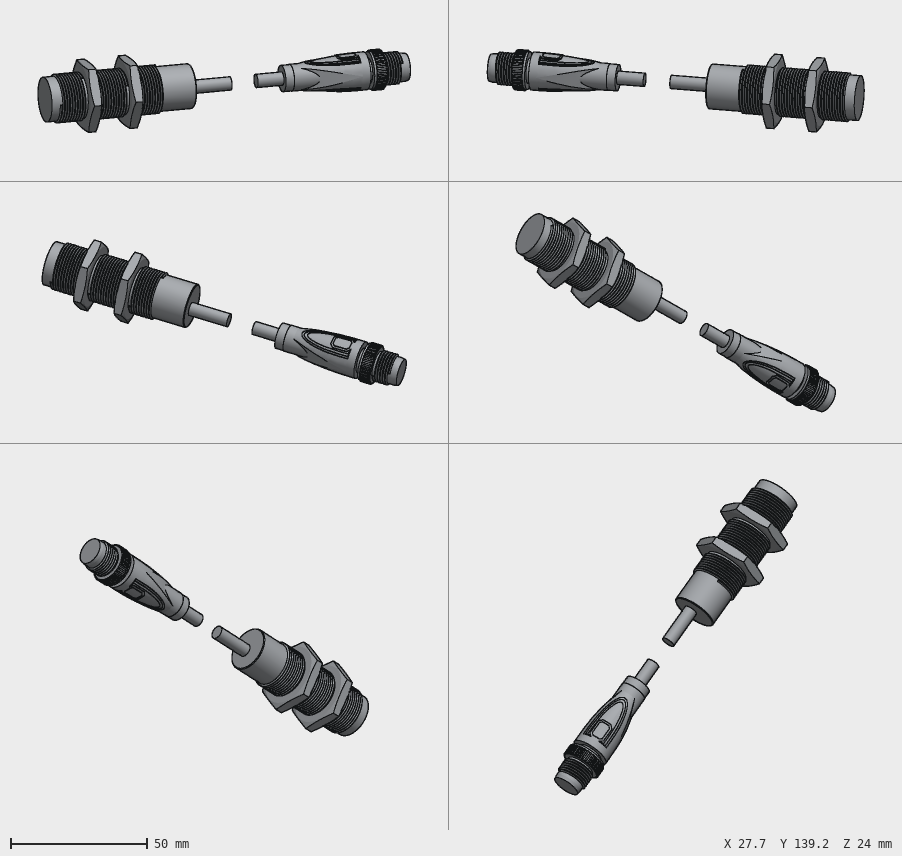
import cadquery as cq
import math


cable_radius = 2.5
cable_offset = 1.4
thread_pitch = 1.0
thread_depth = 0.7
crest_width = thread_pitch / 8
flank_angle = 30.0
thread_end_gap = 0.05
root_overlap = 0.05

sensor_thread_radius = 9.0
barrel_radius = sensor_thread_radius - thread_depth
sensor_thread_start = 3.1
sensor_thread_end = 43.8
barrel_length = 56.0
barrel_end_chamfer = 0.3
sensor_cable_end = 71.1

nut_across_flats = 24.0
nut_across_corners = nut_across_flats / math.cos(math.radians(30))
nut_thickness = 4.0
nut_face_radius = 11.5
nut_bevel = 0.6
nut_starts = (14.0, 30.0)

plug_cable_start = 81.1
sleeve_start = 91.1
tail_start = 94.4
head_start = 120.2
head_end = 123.2
rim_start = 124.7
knurl_start = 125.6
knurl_end = 129.6
plug_thread_end = 136.6
plug_end = 139.2

sleeve_radius = 4.9
tail_radius = 5.0
head_radius = 7.05
neck_radius = 4.7
rim_radius = 7.0
plug_thread_radius = 6.0
nose_radius = plug_thread_radius - thread_depth
nose_chamfer_radius = 0.25
nose_chamfer_length = 1.4

knurl_radius = 7.5
knurl_groove_depth = 0.5
knurl_count = 36
knurl_chamfer = 0.4

side_arc_radius = 62.0
taper_arc_radius = 123.0
grip_length = head_start - tail_start

pad_straight_end = 116.5
pad_step_inset = 0.2
pad_front = head_start - pad_step_inset
pad_steps = (
    (5.0, 16.5, pad_front, 0.2),
    (4.3, 15.6, pad_front - pad_step_inset, 0.4),
    (3.5, 14.3, pad_front - 2 * pad_step_inset, 0.25),
)

frame_front = 120.0
frame_length = 8.0
frame_width = 6.0
frame_corner = 1.2
frame_border = 0.8


def cylinder(radius, start, end):
    """Cylinder on the Y axis between two stations."""
    return cq.Workplane("XZ", origin=(0, start, 0)).circle(radius).extrude(start - end)


def turned(points):
    """Solid of revolution about Y from (radius, station) points."""
    return cq.Workplane("XY").polyline(points).close().revolve(360, (0, 0), (0, 1))


def thread(radius, start, end):
    """Root cylinder between two stations, carrying a right-hand helical ridge."""
    root = radius - thread_depth
    inner = root - root_overlap
    half_crest = crest_width / 2
    half_root = half_crest + (radius - inner) * math.tan(math.radians(flank_angle))
    helix_length = end - start - 2 * half_root - 2 * thread_end_gap
    path = cq.Workplane(obj=cq.Wire.makeHelix(thread_pitch, helix_length, inner))
    ridge = (
        cq.Workplane("XZ")
        .polyline([(inner, -half_root), (radius, -half_crest), (radius, half_crest), (inner, half_root)])
        .close()
        .sweep(path, isFrenet=True)
        .rotate((0, 0, 0), (1, 0, 0), -90)
        .translate((0, start + half_root + thread_end_gap, 0))
    )
    return cylinder(root, start, end).union(ridge, clean=False)


def lock_nut(start):
    """Hexagon nut, flats facing up and down, bevelled on both faces."""
    end = start + nut_thickness
    corner_radius = nut_across_corners / 2
    hexagon = cq.Workplane("XZ", origin=(0, start, 0)).polygon(6, nut_across_corners).extrude(-nut_thickness)
    bevels = turned(
        [
            (0, start),
            (nut_face_radius, start),
            (corner_radius, start + nut_bevel),
            (corner_radius, end - nut_bevel),
            (nut_face_radius, end),
            (0, end),
        ]
    )
    return hexagon.intersect(bevels)


def make_sensor():
    """Sensing face, threaded barrel broken by the two nuts, plain barrel and cable."""
    sensor = cylinder(barrel_radius, 0, sensor_thread_start)
    thread_start = sensor_thread_start
    for nut_start in nut_starts:
        sensor = sensor.union(thread(sensor_thread_radius, thread_start, nut_start), clean=False)
        sensor = sensor.union(lock_nut(nut_start), clean=False)
        thread_start = nut_start + nut_thickness
    sensor = sensor.union(thread(sensor_thread_radius, thread_start, sensor_thread_end), clean=False)
    barrel = cylinder(barrel_radius, sensor_thread_end, barrel_length)
    barrel = barrel.faces(">Y").edges().chamfer(barrel_end_chamfer)
    cable = cylinder(cable_radius, barrel_length, sensor_cable_end).translate((cable_offset, 0, 0))
    barrel = barrel.union(cable)
    return sensor.union(barrel, clean=False)


def arc_inset(arc_radius, distance):
    """How far an arc that starts along Y has curved inwards after a distance along Y."""
    return arc_radius - math.sqrt(arc_radius**2 - distance**2)


def grip_form(depth):
    """Round taper from head to tail, set in by a depth, with its two sides curved inwards."""
    half_length = grip_length / 2
    mid_station = head_start - half_length
    taper_start = head_radius - depth
    round_taper = (
        cq.Workplane("XY")
        .moveTo(0, head_start)
        .lineTo(taper_start, head_start)
        .threePointArc(
            (taper_start - arc_inset(taper_arc_radius, half_length), mid_station),
            (taper_start - arc_inset(taper_arc_radius, grip_length), tail_start),
        )
        .lineTo(0, tail_start)
        .close()
        .revolve(360, (0, 0), (0, 1))
    )
    side_middle = head_radius - arc_inset(side_arc_radius, half_length)
    side_end = head_radius - arc_inset(side_arc_radius, grip_length)
    slab = (
        cq.Workplane("XY")
        .moveTo(-head_radius, head_start)
        .threePointArc((-side_middle, mid_station), (-side_end, tail_start))
        .lineTo(side_end, tail_start)
        .threePointArc((side_middle, mid_station), (head_radius, head_start))
        .close()
        .extrude(head_radius, both=True)
    )
    return round_taper.intersect(slab)


def pad_prism(half_width, reach, front):
    """Vertical prism over a pad outline: straight sides closed by a half ellipse."""
    return (
        cq.Workplane("XY")
        .moveTo(-half_width, pad_straight_end)
        .lineTo(-half_width, front)
        .lineTo(half_width, front)
        .lineTo(half_width, pad_straight_end)
        .ellipseArc(half_width, reach, 180, 360, sense=-1, startAtCurrent=True)
        .close()
        .extrude(head_radius, both=True)
    )


def frame_prism():
    """Vertical prism over the frame: a rectangle with cut corners and a similar opening."""
    center = frame_front - frame_length / 2
    plate = cq.Workplane("XY").center(0, center)
    outside = plate.rect(frame_width, frame_length).extrude(head_radius, both=True)
    opening = plate.rect(frame_width - 2 * frame_border, frame_length - 2 * frame_border)
    opening = opening.extrude(head_radius, both=True)
    outside = outside.edges("|Z").chamfer(frame_corner)
    opening = opening.edges("|Z").chamfer(frame_corner - frame_border / 2)
    return outside.cut(opening)


def make_grip():
    """Tapered grip with a stepped pad and a raised frame on its top and bottom."""
    full = grip_form(0)
    grip = full
    for half_width, reach, front, depth in pad_steps:
        prism = pad_prism(half_width, reach, front)
        grip = grip.cut(prism).union(grip_form(depth).intersect(prism))
    return grip.union(full.intersect(frame_prism()))


def make_coupling_ring():
    """Knurled ring with straight grooves and a plain rim behind it."""
    blank = cylinder(knurl_radius, knurl_start, knurl_end).faces(">Y").edges().chamfer(knurl_chamfer)
    groove_width = math.pi * knurl_radius / knurl_count
    grooves = (
        cq.Workplane("XZ", origin=(0, knurl_start, 0))
        .polarArray(knurl_radius, 0, 360, knurl_count)
        .rect(2 * knurl_groove_depth, groove_width)
        .extrude(knurl_start - knurl_end)
    )
    return blank.cut(grooves).union(cylinder(rim_radius, rim_start, knurl_start))


def make_plug():
    """Cable, strain relief, grip, coupling ring and threaded nose."""
    plug = cylinder(cable_radius, plug_cable_start, sleeve_start)
    plug = plug.union(cylinder(sleeve_radius, sleeve_start, tail_start))
    plug = plug.union(cylinder(tail_radius, tail_start, head_start)).union(make_grip())
    plug = plug.union(cylinder(head_radius, head_start, head_end))
    plug = plug.union(cylinder(neck_radius, head_end, rim_start))
    plug = plug.union(make_coupling_ring())
    plug = plug.union(thread(plug_thread_radius, knurl_end, plug_thread_end), clean=False)
    nose = turned(
        [
            (0, plug_thread_end),
            (nose_radius, plug_thread_end),
            (nose_radius, plug_end - nose_chamfer_length),
            (nose_radius - nose_chamfer_radius, plug_end),
            (0, plug_end),
        ]
    )
    return plug.union(nose, clean=False)


sensor = make_sensor()
plug = make_plug().translate((cable_offset, 0, 0))
result = cq.Compound.makeCompound([sensor.val(), plug.val()])